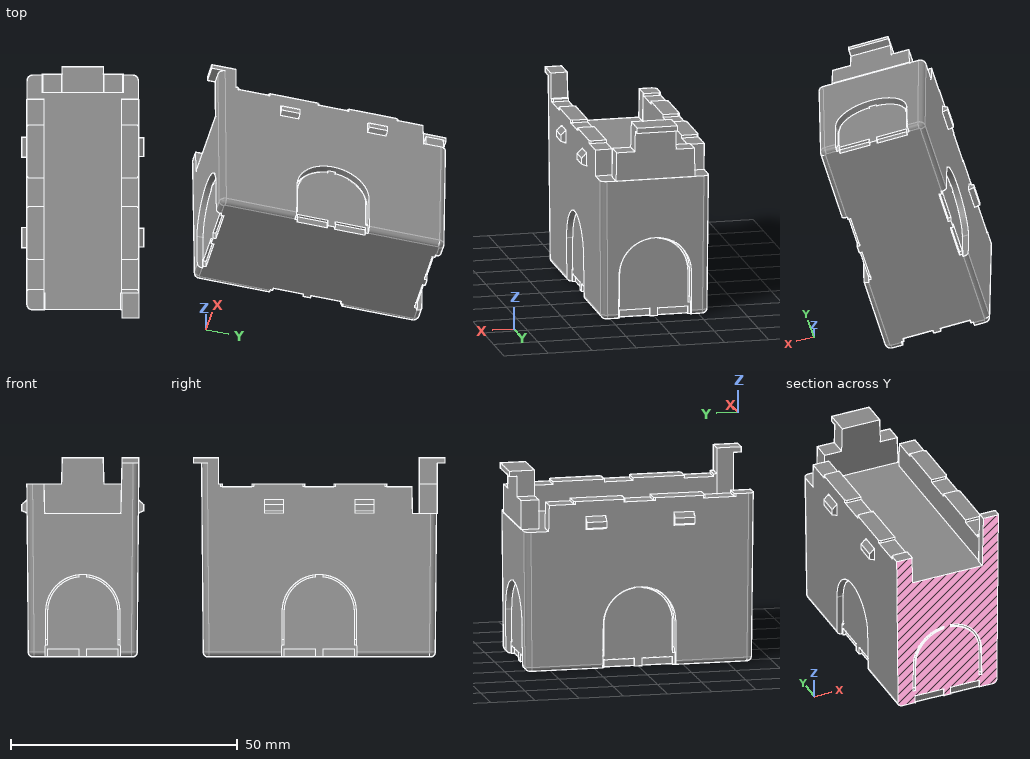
import cadquery as cq
import math

TOTAL_LENGTH = 55.5
TOTAL_WIDTH = 27.0
TOTAL_HEIGHT = 44.0

BASE_HALF_WIDTH = 12.03
BASE_HALF_LENGTH = 25.62
BODY_DRAFT = 0.5
CORNER_RADIUS = 1.3
BOTTOM_RADIUS = 1.1
PLUG_DRAFT = 1.3

FLOOR_Z = 31.7
WALL_Z = 37.6
RAISED_Z = 38.2
LIP_THICKNESS = 1.2
LIP_Z = TOTAL_HEIGHT - LIP_THICKNESS

CHANNEL_HALF_WIDTH = 8.55
FRONT_OPENING_HALF_WIDTH = 8.38
WALL_BACK_Y = 20.6
RAISED_LENGTH = 11.7
RAISED_CENTRES_Y = (9.05, -9.0)
CORNER_BLOCK_Y = -21.4
RAISED_CHAMFER = 0.4

POST_Y = -22.2
BACK_FACE_Y = 26.05
BACK_INNER_Y = 22.05
BLOCK_HALF_WIDTH = 8.8
TONGUE_HALF_WIDTH = 4.55
TONGUE_ROOT_HALF_WIDTH = 4.7

LUG_CENTRES_Y = (9.95, -10.0)
LEFT_LUG_LENGTH = 4.5
RIGHT_LUG_LENGTH = 4.2
LUG_TOP_Z = 34.7
LUG_FACE_TOP_Z = 33.6
LUG_FACE_BOTTOM_Z = 32.25
LUG_BOTTOM_Z = 31.75
LUG_ROOT_X = 12.0

ARCH_RADIUS = 8.2
ARCH_SPRING_Z = 10.0
ARCH_FOOT_HALF_WIDTH = 8.3
PANEL_HALF_WIDTH = 7.75
RECESS_DEPTH = 1.2
GROOVE_DEPTH = 0.65
GROOVE_END_Z = 2.65
GROOVE_END_DEEP_Z = 3.85
NOTCH_HEIGHT = 1.75
TAB_HALF_WIDTH = 0.85

CLEARANCE = 2.0


def draft_offset(height):
    """Sideways shift of a drafted face over a height."""
    return height * math.tan(math.radians(PLUG_DRAFT))


def body_offset(height):
    """Outward shift of the body sides at a height."""
    return height * math.tan(math.radians(BODY_DRAFT))


def box(x_range, y_range, z_range):
    """Box between pairs of coordinates."""
    (x0, x1), (y0, y1), (z0, z1) = x_range, y_range, z_range
    return cq.Workplane("XY").box(x1 - x0, y1 - y0, z1 - z0, centered=False).translate((x0, y0, z0))


def prism_along_y(points, y0, y1):
    """Extrude an XZ outline from y0 to y1."""
    return cq.Workplane("XZ", origin=(0, y1, 0)).polyline(points).close().extrude(y1 - y0)


def prism_along_x(points, x0, x1):
    """Extrude a YZ outline from x0 to x1."""
    return cq.Workplane("YZ", origin=(x0, 0, 0)).polyline(points).close().extrude(x1 - x0)


def make_envelope():
    """Drafted block of full height with rounded corners and bottom edge."""
    top_offset = body_offset(TOTAL_HEIGHT)
    return (
        cq.Workplane("XY")
        .rect(2 * BASE_HALF_WIDTH, 2 * BASE_HALF_LENGTH)
        .workplane(offset=TOTAL_HEIGHT)
        .rect(2 * (BASE_HALF_WIDTH + top_offset), 2 * (BASE_HALF_LENGTH + top_offset))
        .loft(ruled=True)
        .edges("not(#Z)").fillet(CORNER_RADIUS)
        .faces("<Z").edges().fillet(BOTTOM_RADIUS)
    )


def make_side_walls():
    """Two side walls with raised blocks and taller front corners."""
    half_width = TOTAL_WIDTH / 2
    wall_top_y = WALL_BACK_Y - draft_offset(WALL_Z - FLOOR_Z)
    outline = [(POST_Y, FLOOR_Z), (WALL_BACK_Y, FLOOR_Z), (wall_top_y, WALL_Z), (POST_Y, WALL_Z)]
    walls = prism_along_x(outline, -half_width, half_width)
    raised_half_width = BASE_HALF_WIDTH + body_offset(RAISED_Z)
    for centre_y in RAISED_CENTRES_Y:
        span = (centre_y - RAISED_LENGTH / 2, centre_y + RAISED_LENGTH / 2)
        raised = box((-raised_half_width, raised_half_width), span, (WALL_Z, RAISED_Z))
        walls = walls.union(raised.edges("|Z").chamfer(RAISED_CHAMFER))
    corner_span = (POST_Y, CORNER_BLOCK_Y)
    corner = box((-raised_half_width, raised_half_width), corner_span, (WALL_Z, RAISED_Z))
    walls = walls.union(corner.edges("|Z and >Y").chamfer(RAISED_CHAMFER))
    channel = box(
        (-CHANNEL_HALF_WIDTH, CHANNEL_HALF_WIDTH),
        (POST_Y - CLEARANCE, WALL_BACK_Y + CLEARANCE),
        (FLOOR_Z, TOTAL_HEIGHT),
    )
    return walls.cut(channel)


def front_column(side, top_z):
    """Front corner column with a drafted inner face; side is -1 or +1."""
    bottom_x = FRONT_OPENING_HALF_WIDTH
    top_x = bottom_x + draft_offset(top_z - FLOOR_Z)
    outer_x = TOTAL_WIDTH / 2
    outline = [(bottom_x, FLOOR_Z), (outer_x, FLOOR_Z), (outer_x, top_z), (top_x, top_z)]
    return prism_along_y([(side * x, z) for x, z in outline], -TOTAL_LENGTH / 2, POST_Y)


def make_front_lip():
    """Hook lip on the tall front post, flush with the drafted post sides."""
    outline = [
        (FRONT_OPENING_HALF_WIDTH + draft_offset(LIP_Z - FLOOR_Z), LIP_Z),
        (BASE_HALF_WIDTH + body_offset(LIP_Z), LIP_Z),
        (BASE_HALF_WIDTH + body_offset(TOTAL_HEIGHT), TOTAL_HEIGHT),
        (FRONT_OPENING_HALF_WIDTH + draft_offset(TOTAL_HEIGHT - FLOOR_Z), TOTAL_HEIGHT),
    ]
    return prism_along_y(outline, -TOTAL_LENGTH / 2, POST_Y)


def make_back_hook():
    """Drafted back block carrying a central tongue with a hook lip."""
    base_half_width = BLOCK_HALF_WIDTH + draft_offset(RAISED_Z - FLOOR_Z)
    block = prism_along_y(
        [(-base_half_width, FLOOR_Z), (base_half_width, FLOOR_Z),
         (BLOCK_HALF_WIDTH, RAISED_Z), (-BLOCK_HALF_WIDTH, RAISED_Z)],
        BACK_INNER_Y, BACK_FACE_Y,
    )
    tongue_outline = [
        (-TONGUE_ROOT_HALF_WIDTH, RAISED_Z), (TONGUE_ROOT_HALF_WIDTH, RAISED_Z),
        (TONGUE_HALF_WIDTH, TOTAL_HEIGHT), (-TONGUE_HALF_WIDTH, TOTAL_HEIGHT),
    ]
    tongue = prism_along_y(tongue_outline, BACK_INNER_Y, TOTAL_LENGTH / 2)
    under_lip = box(
        (-TONGUE_ROOT_HALF_WIDTH, TONGUE_ROOT_HALF_WIDTH), (BACK_FACE_Y, TOTAL_LENGTH / 2), (RAISED_Z, LIP_Z)
    )
    return block.union(tongue.cut(under_lip))


def make_lug(side, centre_y, length):
    """Snap lug on a side wall; side is -1 or +1."""
    tip_x = TOTAL_WIDTH / 2
    outline = [
        (LUG_ROOT_X, LUG_BOTTOM_Z), (BASE_HALF_WIDTH + body_offset(LUG_BOTTOM_Z), LUG_BOTTOM_Z),
        (tip_x, LUG_FACE_BOTTOM_Z), (tip_x, LUG_FACE_TOP_Z),
        (BASE_HALF_WIDTH + body_offset(LUG_TOP_Z), LUG_TOP_Z), (LUG_ROOT_X, LUG_TOP_Z),
    ]
    points = [(side * x, z) for x, z in outline]
    return prism_along_y(points, centre_y - length / 2, centre_y + length / 2)


def make_arch(radius, foot_half_width, near, far):
    """Arch-shaped prism between y = -near and y = -far, with near > far."""
    outline = (
        cq.Workplane("XZ", origin=(0, -far, 0))
        .moveTo(-foot_half_width, 0)
        .lineTo(-radius, ARCH_SPRING_Z)
        .threePointArc((0, ARCH_SPRING_Z + radius), (radius, ARCH_SPRING_Z))
        .lineTo(foot_half_width, 0)
        .close()
    )
    return outline.extrude(near - far)


def make_groove(floor):
    """Groove around the panel, interrupted by the top tab and sloping out above the foot."""
    bottom = floor - GROOVE_DEPTH
    groove = make_arch(ARCH_RADIUS, ARCH_FOOT_HALF_WIDTH, floor, bottom)
    groove = groove.cut(make_arch(PANEL_HALF_WIDTH, PANEL_HALF_WIDTH, floor, bottom))
    top_tab = box(
        (-TAB_HALF_WIDTH, TAB_HALF_WIDTH), (-floor, -bottom), (ARCH_SPRING_Z, TOTAL_HEIGHT)
    )
    foot_outline = [(-floor, 0), (-floor, GROOVE_END_Z), (-bottom, GROOVE_END_DEEP_Z), (-bottom, 0)]
    foot = prism_along_x(foot_outline, -ARCH_FOOT_HALF_WIDTH, ARCH_FOOT_HALF_WIDTH)
    return groove.cut(top_tab).cut(foot)


def make_arch_cutter(base_distance):
    """Arched recess for the -Y face whose base edge lies at base_distance."""
    face = base_distance + CLEARANCE
    floor = base_distance - RECESS_DEPTH
    cutter = make_arch(ARCH_RADIUS, ARCH_FOOT_HALF_WIDTH, face, floor).union(make_groove(floor))
    for x_range in ((-PANEL_HALF_WIDTH, -TAB_HALF_WIDTH), (TAB_HALF_WIDTH, PANEL_HALF_WIDTH)):
        cutter = cutter.union(box(x_range, (-face, GROOVE_DEPTH - floor), (0, NOTCH_HEIGHT)))
    return cutter


lower_body = box(
    (-TOTAL_WIDTH / 2, TOTAL_WIDTH / 2), (-TOTAL_LENGTH / 2, TOTAL_LENGTH / 2), (0, FLOOR_Z)
)
shape = lower_body.union(make_side_walls())
shape = shape.union(front_column(-1, RAISED_Z)).union(front_column(1, TOTAL_HEIGHT))
result = shape.intersect(make_envelope())
result = result.union(make_front_lip()).union(make_back_hook())

for lug_y in LUG_CENTRES_Y:
    result = result.union(make_lug(-1, lug_y, LEFT_LUG_LENGTH))
    result = result.union(make_lug(1, lug_y, RIGHT_LUG_LENGTH))

for quarter_turns in range(4):
    base_distance = BASE_HALF_LENGTH if quarter_turns % 2 == 0 else BASE_HALF_WIDTH
    cutter = make_arch_cutter(base_distance)
    result = result.cut(cutter.rotate((0, 0, 0), (0, 0, 1), 90 * quarter_turns))